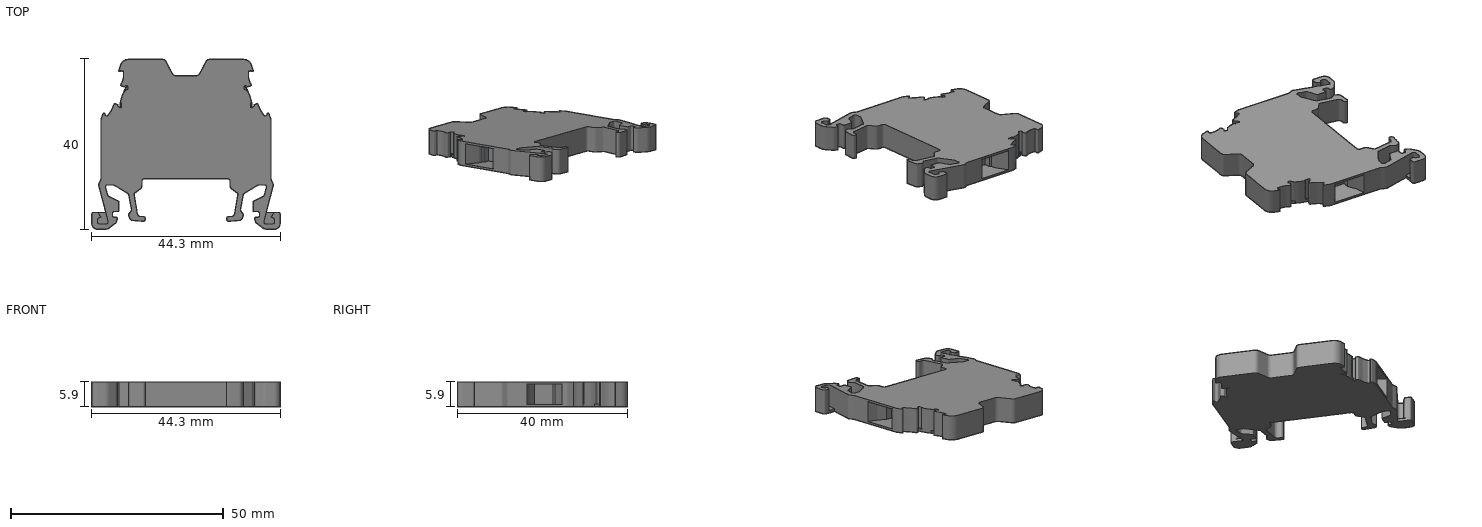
import cadquery as cq
import math

width = 44.33
height = 40.0
thickness = 5.9
web_thickness = 0.65

half_width = width / 2
top_y = height / 2
bottom_y = -height / 2

body_side = 20.0
notch_floor_y = 16.16
rail_floor_y = -8.12
hook_top_y = -16.0

pocket_wall = 0.5
funnel_upper_y = 4.55
funnel_lower_y = -3.65
upper_bend_depth = 3.3
upper_bend_y = 2.9
upper_bend_radius = 3.4
lower_bend_depth = 2.5
lower_bend_y = -2.97
throat_depth = 4.2
neck_start_depth = 4.4
neck_upper_y = 2.45
neck_lower_y = -1.85
neck_end_depth = 6.0
cutter_overrun = 1.0

longest_tangent_share = 0.49


top_corners = [
    (2.97, notch_floor_y, 1.0),
    (4.94, top_y, 1.0),
    (14.95, top_y, 2.2),
    (15.87, 17.2, 0.3),
]

shoulder_corners = [
    (15.5, 17.08, 0.1),
    (15.2, 17.3, 0.1),
    (15.03, 17.1, 0.1),
    (14.7, 17.2, 0.0),
    (14.7, 15.4, 4.0),
    (15.42, 13.85, 0.15),
    (15.0, 13.6, 0.1),
    (14.7, 13.6, 0.1),
    (14.47, 13.4, 0.15),
    (14.15, 13.75, 0.15),
    (13.64, 13.68, 0.25),
    (13.64, 13.0, 0.4),
    (14.5, 12.5, 0.8),
    (15.05, 11.4, 3.0),
    (15.47, 9.8, 0.0),
    (15.2, 9.75, 0.0),
    (15.2, 8.62, 0.15),
    (15.5, 8.62, 0.1),
    (15.95, 8.95, 0.1),
    (16.05, 9.35, 0.15),
    (16.85, 9.65, 0.25),
    (17.55, 8.0, 3.0),
    (18.5, 6.6, 0.25),
    (19.0, 6.88, 0.1),
    (19.1, 7.33, 0.2),
    (19.47, 7.33, 0.2),
    (body_side, 5.9, 1.0),
]

hook_corners = [
    (body_side, -8.2, 0.6),
    (20.6, -9.5, 0.8),
    (18.16, -18.73, 0.5),
    (20.95, -18.73, 0.9),
    (20.75, -17.45, 0.3),
    (20.03, -17.1, 0.0),
    (20.34, -16.6, 0.3),
    (20.65, hook_top_y, 0.3),
    (half_width, hook_top_y, 0.4),
    (half_width, bottom_y, 1.4),
    (18.45, bottom_y, 1.7),
    (16.4, -18.4, 0.5),
    (15.95, -17.1, 0.4),
    (17.25, -17.1, 0.3),
    (17.25, -15.84, 0.3),
    (15.8, -15.84, 0.15),
    (15.8, -13.4, 0.15),
    (18.33, -12.15, 0.6),
    (19.05, -9.57, 0.4),
]

inner_leg_corners = [
    (17.0, -9.57, 0.8),
    (13.53, -11.68, 0.3),
    (12.8, -15.5, 0.4),
    (13.6, -16.6, 0.5),
    (13.0, -17.9, 0.8),
    (9.56, -18.17, 0.5),
    (9.56, -16.96, 0.5),
    (11.3, -16.96, 0.8),
    (12.2, -11.6, 0.3),
    (10.34, -10.2, 1.0),
    (10.34, rail_floor_y, 0.6),
]

upper_groove_web = [
    (13.95, 13.55, 0.0),
    (14.5, 12.7, 0.5),
    (14.7, 12.2, 0.0),
    (14.2, 12.3, 0.0),
    (13.3, 12.9, 0.0),
    (13.3, 13.55, 0.0),
]
lower_groove_web = [
    (15.47, 9.8, 0.0),
    (15.52, 8.3, 0.0),
    (15.0, 8.3, 0.0),
    (15.0, 9.8, 0.0),
]
hook_web = [
    (18.83, hook_top_y, 0.0),
    (17.9, -19.2, 0.0),
    (21.3, -19.2, 0.0),
    (21.3, hook_top_y, 0.0),
]


def mirrored(corners):
    """Reflect corners about the centre plane, reversing their order."""
    return [(-x, y, radius) for x, y, radius in reversed(corners)]


def step_towards(start, end, distance):
    """Point at a distance from start along the line to end."""
    share = distance / math.dist(start, end)
    return (start[0] + share * (end[0] - start[0]), start[1] + share * (end[1] - start[1]))


def corner_arc(before, corner, after):
    """Start, middle and end of the arc that rounds a corner."""
    previous_point = before[:2]
    point = corner[:2]
    radius = corner[2]
    next_point = after[:2]
    arm_in = math.atan2(previous_point[1] - point[1], previous_point[0] - point[0])
    arm_out = math.atan2(next_point[1] - point[1], next_point[0] - point[0])
    half_angle = math.acos(math.cos(arm_in - arm_out)) / 2
    shorter_side = min(math.dist(point, previous_point), math.dist(point, next_point))
    tangent = min(radius / math.tan(half_angle), longest_tangent_share * shorter_side)
    start = step_towards(point, previous_point, tangent)
    end = step_towards(point, next_point, tangent)
    chord_middle = ((start[0] + end[0]) / 2, (start[1] + end[1]) / 2)
    fitted_radius = tangent * math.tan(half_angle)
    corner_to_arc = fitted_radius / math.sin(half_angle) - fitted_radius
    return start, step_towards(point, chord_middle, corner_to_arc), end


def prism(corners, depth):
    """Extrude a closed outline with rounded corners upwards from Z = 0."""
    outline = None
    for index, corner in enumerate(corners):
        after = corners[(index + 1) % len(corners)]
        if corner[2] > 0:
            start, middle, end = corner_arc(corners[index - 1], corner, after)
        else:
            start = corner[:2]
        if outline is None:
            outline = cq.Workplane("XY").moveTo(*start)
        else:
            outline = outline.lineTo(*start)
        if corner[2] > 0:
            outline = outline.threePointArc(middle, end)
    return outline.close().extrude(depth)


def both_sides(corners, depth):
    """Matching prisms on the two sides of the centre plane."""
    return prism(corners, depth).union(prism(mirrored(corners), depth))


def body():
    half = top_corners + shoulder_corners + hook_corners + inner_leg_corners
    return prism(half + mirrored(half), thickness)


def wire_funnels():
    """Tapered entries, open at the side faces and closed above and below."""
    upper_bend_x = body_side - upper_bend_depth
    lower_bend_x = body_side - lower_bend_depth
    throat_x = body_side - throat_depth
    neck_start_x = body_side - neck_start_depth
    neck_end_x = body_side - neck_end_depth
    mouth_x = body_side + cutter_overrun
    corners = [
        (mouth_x, funnel_upper_y, 0.0),
        (body_side, funnel_upper_y, 0.0),
        (upper_bend_x, upper_bend_y, upper_bend_radius),
        (throat_x, upper_bend_y, 0.0),
        (neck_start_x, neck_upper_y, 0.0),
        (neck_end_x, neck_upper_y, 0.0),
        (neck_end_x, neck_lower_y, 0.0),
        (neck_start_x, neck_lower_y, 0.0),
        (lower_bend_x, lower_bend_y, 0.0),
        (body_side, funnel_lower_y, 0.0),
        (mouth_x, funnel_lower_y, 0.0),
    ]
    return both_sides(corners, thickness - 2 * pocket_wall).translate((0, 0, pocket_wall))


result = body().cut(wire_funnels())
for web in (upper_groove_web, lower_groove_web, hook_web):
    result = result.union(both_sides(web, web_thickness))